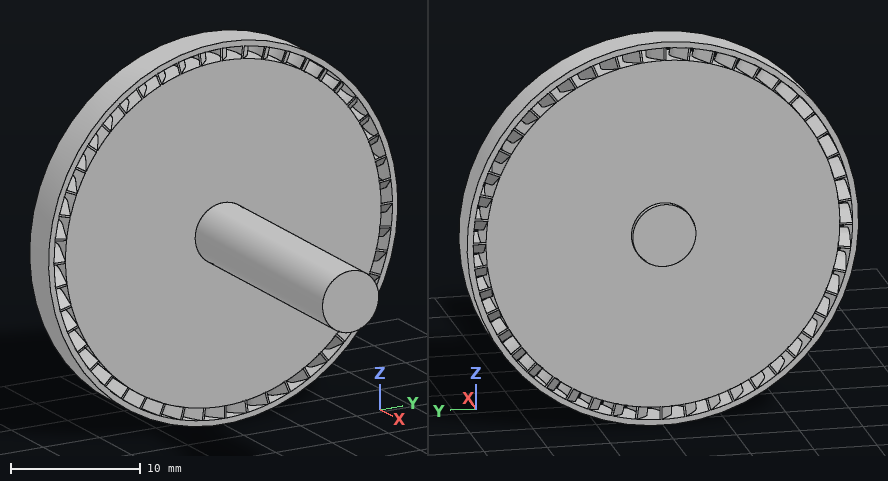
import cadquery as cq
import math

wheel_diameter = 31.0
wheel_width = 3.0
ring_wall = 0.5
hub_diameter = 28.0

shaft_diameter = 5.0
shaft_stub = 0.5
shaft_tail = 20.0

bucket_count = 48
bucket_angle = 45.0
bucket_edge = 0.15
bucket_flat = 0.8
bucket_offset = 0.1

wheel_radius = wheel_diameter / 2
ring_inner_radius = wheel_radius - ring_wall
hub_radius = hub_diameter / 2
mid_width = wheel_width / 2


def cylinder(radius, start, length):
    """Cylinder about the X axis, from x = start."""
    plane = cq.Plane(origin=(start, 0, 0), xDir=(0, 0, 1), normal=(1, 0, 0))
    return cq.Workplane(plane).circle(radius).extrude(length)


def arc_rise(half_chord):
    """Height of an arc whose ends slope at the bucket angle to its chord."""
    return half_chord * math.tan(math.radians(bucket_angle) / 2)


def bucket_blank():
    """Bucket at the top of the wheel, extruded upwards from the axis by the wheel radius."""
    convex_edge = -bucket_offset
    concave_edge = convex_edge - bucket_edge
    flat_end = convex_edge + bucket_flat * math.tan(math.radians(bucket_angle))
    convex_peak = flat_end + arc_rise(mid_width - bucket_flat)
    concave_peak = concave_edge + arc_rise(mid_width)
    return (
        cq.Workplane("XY")
        .moveTo(0, convex_edge)
        .lineTo(bucket_flat, flat_end)
        .threePointArc((mid_width, convex_peak), (wheel_width - bucket_flat, flat_end))
        .lineTo(wheel_width, convex_edge)
        .lineTo(wheel_width, concave_edge)
        .threePointArc((mid_width, concave_peak), (0, concave_edge))
        .close()
        .extrude(wheel_radius)
    )


hub = cylinder(hub_radius, 0, wheel_width)
ring_bore = cylinder(ring_inner_radius, 0, wheel_width)
ring = cylinder(wheel_radius, 0, wheel_width).cut(ring_bore)
shaft = cylinder(shaft_diameter / 2, -shaft_stub, shaft_stub + wheel_width + shaft_tail)

bucket = bucket_blank().intersect(ring_bore.cut(hub)).val()
bucket_pitch = 360 / bucket_count
buckets = [bucket.rotate((0, 0, 0), (1, 0, 0), i * bucket_pitch) for i in range(bucket_count)]

wheel = hub.val().fuse(ring.val(), shaft.val(), *buckets)
result = cq.Workplane("XY").newObject(wheel.Solids())